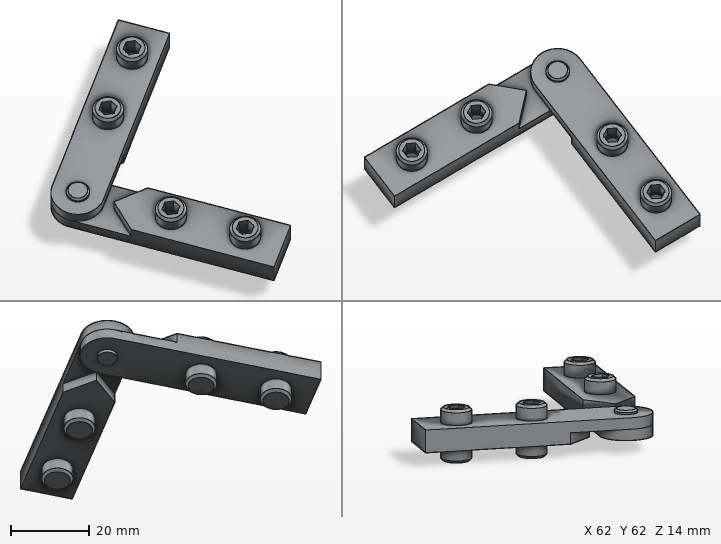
import cadquery as cq

overall_length = 62.0
leaf_width = 13.8
leaf_thickness = 6.0
end_radius = leaf_width / 2
tongue_thickness = leaf_thickness / 2
square_end = overall_length - end_radius
shoulder_gap = 2.8
shoulder_tip = end_radius + shoulder_gap
shoulder_root = shoulder_tip + leaf_width / 2

screw_diameter = 8.0
screw_end_diameter = 6.65
screw_length = 14.0
screw_pitch = 20.0
screw_end_distance = 10.0
screw_chamfer = (screw_diameter - screw_end_diameter) / 2
screw_positions = [square_end - screw_end_distance - screw_pitch, square_end - screw_end_distance]
hex_across_flats = 4.0
hex_sides = 6
hex_depth = 4.0
socket_drill_depth = 5.0

pin_shank_diameter = 5.0
pin_head_diameter = 6.0
pin_projection = 1.0
pin_head_chamfer = (pin_head_diameter - pin_shank_diameter) / 2


def turn_over_diagonal(body):
    """Turn a body half a turn about the line X = Y, swapping X with Y and top with bottom."""
    return body.rotate((0, 0, 0), (1, 1, 0), 180)


def make_leaf():
    """Leaf along +X: a lower tongue with a rounded end, and a full-thickness bar with a V shoulder."""
    half_width = leaf_width / 2
    tongue = (
        cq.Workplane("XY")
        .moveTo(0, half_width)
        .threePointArc((-end_radius, 0), (0, -half_width))
        .lineTo(square_end, -half_width)
        .lineTo(square_end, half_width)
        .close()
        .extrude(-tongue_thickness)
    )
    upper_bar = (
        cq.Workplane("XY")
        .moveTo(shoulder_tip, 0)
        .lineTo(shoulder_root, -half_width)
        .lineTo(square_end, -half_width)
        .lineTo(square_end, half_width)
        .lineTo(shoulder_root, half_width)
        .close()
        .extrude(tongue_thickness)
    )
    pin_hole = cq.Workplane("XY").circle(pin_shank_diameter / 2).extrude(leaf_thickness, both=True)
    screw_holes = (
        cq.Workplane("XY")
        .pushPoints([(x, 0) for x in screw_positions])
        .circle(screw_diameter / 2)
        .extrude(leaf_thickness, both=True)
    )
    return tongue.union(upper_bar).cut(pin_hole).cut(screw_holes)


def make_set_screw(x, y):
    """Set screw with both ends chamfered and a hexagon socket in its top end."""
    screw = (
        cq.Workplane("XY", origin=(x, y, -screw_length / 2))
        .circle(screw_diameter / 2)
        .extrude(screw_length)
        .faces("<Z or >Z")
        .chamfer(screw_chamfer)
    )
    socket = (
        cq.Workplane("XY", origin=(x, y, screw_length / 2))
        .polygon(hex_sides, hex_across_flats, circumscribed=True)
        .extrude(-hex_depth)
    )
    drill = (
        cq.Workplane("XY", origin=(x, y, screw_length / 2))
        .circle(hex_across_flats / 2)
        .extrude(-socket_drill_depth)
    )
    return screw.cut(socket).cut(drill)


def make_pivot_pin():
    """Pin with a plain shank and a chamfered head that rests on the top leaf."""
    head = (
        cq.Workplane("XY", origin=(0, 0, tongue_thickness))
        .circle(pin_head_diameter / 2)
        .extrude(pin_projection)
        .faces(">Z")
        .chamfer(pin_head_chamfer)
    )
    shank = (
        cq.Workplane("XY", origin=(0, 0, tongue_thickness))
        .circle(pin_shank_diameter / 2)
        .extrude(-(leaf_thickness + pin_projection))
    )
    return head.union(shank)


lower_leaf = make_leaf()
upper_leaf = turn_over_diagonal(make_leaf())
pivot_pin = make_pivot_pin()

set_screws = []
for distance in screw_positions:
    set_screws.append(make_set_screw(distance, 0))
    set_screws.append(make_set_screw(0, distance))

result = cq.Compound.makeCompound(
    [lower_leaf.val(), upper_leaf.val(), pivot_pin.val(), *[screw.val() for screw in set_screws]]
)